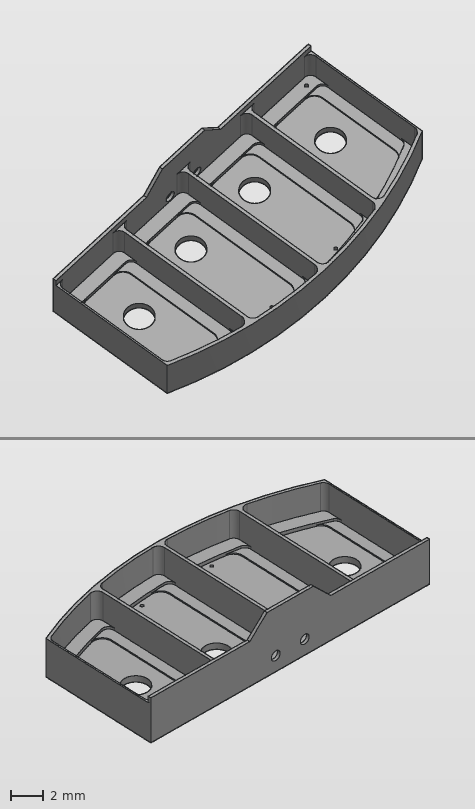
import cadquery as cq

LENGTH = 24.0
WIDTH = 12.0
RIM_HEIGHT = 3.0
BOW_RADIUS = 30.0
BOW_CENTER_X = WIDTH - BOW_RADIUS

WALL = 0.25
COMPARTMENTS = 4
PITCH = LENGTH / COMPARTMENTS
CORNER_RADIUS = 0.5

SHELF_Z = 0.8
SHELF_WIDTH = 1.0
STEP_Z = 0.6
FLOOR_Z = 0.5
FLOOR_SIDE_INSET = 0.82
FLOOR_CORNER_RADIUS = 0.8

PLATE_HEIGHT = 3.5
TAB_HEIGHT = 5.0
TAB_TOP_HALF = 2.0
TAB_BASE_HALF = TAB_TOP_HALF + TAB_HEIGHT - PLATE_HEIGHT
PLATE_HOLE_DIAMETER = 0.75
PLATE_HOLE_OFFSET = 1.25
PLATE_HOLE_Z = 1.25

LARGE_HOLE_DIAMETER = 2.0
OUTER_LARGE_X = 4.5
INNER_LARGE_X = 3.5
SMALL_HOLE_DIAMETER = 0.25
OUTER_SMALL_X = 0.75
OUTER_SMALL_END_GAP = 1.0
INNER_SMALL_X = 10.25


def bowed_block(x_min, bow_radius, y_center, y_size, z_min, z_max):
    """Block with a flat back at x_min and its front rounded about the bow center."""
    height = z_max - z_min
    block = (
        cq.Workplane("XY", origin=(x_min, y_center, z_min))
        .box(WIDTH, y_size, height, centered=(False, True, False))
    )
    disc = cq.Workplane("XY", origin=(BOW_CENTER_X, 0, z_min)).circle(bow_radius).extrude(height)
    return block.intersect(disc)


def compartment(y_center):
    """Cutter for one compartment: main pocket, stepped recess and shallow floor recess."""
    y_size = PITCH - WALL
    shelf_x = WALL + SHELF_WIDTH
    inner_bow = BOW_RADIUS - WALL
    shelf_bow = inner_bow - SHELF_WIDTH
    floor_y_size = y_size - 2 * FLOOR_SIDE_INSET

    pocket = bowed_block(WALL, inner_bow, y_center, y_size, SHELF_Z, RIM_HEIGHT)
    step = bowed_block(shelf_x, shelf_bow, y_center, y_size, STEP_Z, RIM_HEIGHT)
    floor = bowed_block(shelf_x, shelf_bow, y_center, floor_y_size, FLOOR_Z, RIM_HEIGHT)

    pocket = pocket.edges("|Z").fillet(CORNER_RADIUS)
    step = step.edges("|Z").fillet(CORNER_RADIUS)
    floor = floor.edges("|Z").fillet(FLOOR_CORNER_RADIUS)
    return pocket.union(step).union(floor)


def back_plate():
    """Thin plate along the flat back, with a sloped-shoulder tab in the middle."""
    half = LENGTH / 2
    outline = [
        (-half, 0),
        (half, 0),
        (half, PLATE_HEIGHT),
        (TAB_BASE_HALF, PLATE_HEIGHT),
        (TAB_TOP_HALF, TAB_HEIGHT),
        (-TAB_TOP_HALF, TAB_HEIGHT),
        (-TAB_BASE_HALF, PLATE_HEIGHT),
        (-half, PLATE_HEIGHT),
    ]
    return cq.Workplane("YZ").polyline(outline).close().extrude(WALL)


def plate_holes():
    """Pair of holes through the back plate only."""
    centers = [(-PLATE_HOLE_OFFSET, PLATE_HOLE_Z), (PLATE_HOLE_OFFSET, PLATE_HOLE_Z)]
    return cq.Workplane("YZ").pushPoints(centers).circle(PLATE_HOLE_DIAMETER / 2).extrude(WALL)


def floor_holes(diameter, outer_center, inner_center):
    """Vertical holes mirrored about y = 0: one per outer and one per inner compartment."""
    centers = [(x, side * y) for x, y in (outer_center, inner_center) for side in (-1, 1)]
    return cq.Workplane("XY").pushPoints(centers).circle(diameter / 2).extrude(RIM_HEIGHT)


inner_y = PITCH / 2
outer_y = inner_y + PITCH
outer_large = (OUTER_LARGE_X, outer_y)
inner_large = (INNER_LARGE_X, inner_y)
outer_small = (OUTER_SMALL_X, LENGTH / 2 - OUTER_SMALL_END_GAP)
inner_small = (INNER_SMALL_X, inner_y)

result = bowed_block(0, BOW_RADIUS, 0, LENGTH, 0, RIM_HEIGHT)
for index in range(COMPARTMENTS):
    result = result.cut(compartment((index + 0.5) * PITCH - LENGTH / 2))

result = result.union(back_plate()).cut(plate_holes())
result = result.cut(floor_holes(LARGE_HOLE_DIAMETER, outer_large, inner_large))
result = result.cut(floor_holes(SMALL_HOLE_DIAMETER, outer_small, inner_small))